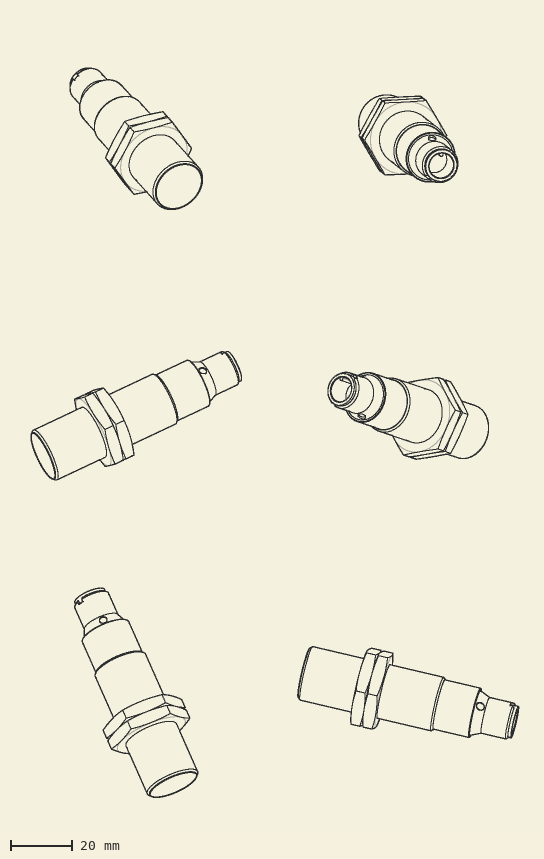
import cadquery as cq
import math

LENGTH = 70.7

TIP_RADIUS = 5.3
TIP_LENGTH = 1.0
COLLAR_RADIUS = 5.4
PLUG_RADIUS = 6.0
PLUG_CHAMFER_END = 1.6
PLUG_END = 9.8

CONE_END = 13.2
CONE_END_RADIUS = 7.5
CAP_RADIUS = 8.3
CAP_CHAMFER = 0.2
CAP_END = 25.3

BARREL_RADIUS = 9.0
BARREL_CHAMFER_LENGTH = 0.65
BARREL_CHAMFER_RADIUS = 8.4
FACE_RADIUS = 8.2
FACE_LENGTH = 0.2

BORE_RADIUS = 4.1
BORE_MOUTH_RADIUS = 4.3
BORE_DEPTH = 8.5
RIB_WIDTH = 1.2
RIB_TIP_HEIGHT = 3.05

SLOT_WIDTH = 2.0
SLOT_END = 2.5
SLOT_ANGLES = (45, 225)

WINDOW_DIAMETER = 2.55
WINDOW_X = 11.5
WINDOW_DEPTH = 0.6

NUT_CORNERS = 27.7
NUT_THICKNESS = 4.0
NUT_START = 43.9
NUT_COUNT = 2
NUT_CHAMFER_ANGLE = 15
HALF_HEXAGON_SIDE_ANGLE = 30


def revolve_about_x(points):
    """Solid of revolution from an (x, radius) outline."""
    return cq.Workplane("XY").polyline(points).close().revolve(360, (0, 0, 0), (1, 0, 0))


def make_blank():
    face_start = LENGTH - FACE_LENGTH
    return revolve_about_x([
        (0, 0),
        (0, TIP_RADIUS),
        (TIP_LENGTH, TIP_RADIUS),
        (TIP_LENGTH, COLLAR_RADIUS),
        (PLUG_CHAMFER_END, PLUG_RADIUS),
        (PLUG_END, PLUG_RADIUS),
        (CONE_END, CONE_END_RADIUS),
        (CONE_END, CAP_RADIUS - CAP_CHAMFER),
        (CONE_END + CAP_CHAMFER, CAP_RADIUS),
        (CAP_END, CAP_RADIUS),
        (CAP_END, BARREL_CHAMFER_RADIUS),
        (CAP_END + BARREL_CHAMFER_LENGTH, BARREL_RADIUS),
        (face_start - BARREL_CHAMFER_LENGTH, BARREL_RADIUS),
        (face_start, BARREL_CHAMFER_RADIUS),
        (face_start, FACE_RADIUS),
        (LENGTH, FACE_RADIUS),
        (LENGTH, 0),
    ])


def make_socket():
    """Cavity of the plug socket: chamfered bore less the round-tipped key rib at its top."""
    mouth_chamfer = BORE_MOUTH_RADIUS - BORE_RADIUS
    bore = revolve_about_x([
        (0, 0),
        (0, BORE_MOUTH_RADIUS),
        (mouth_chamfer, BORE_RADIUS),
        (BORE_DEPTH, BORE_RADIUS),
        (BORE_DEPTH, 0),
    ])
    half_width = RIB_WIDTH / 2
    shoulder_height = RIB_TIP_HEIGHT + half_width
    rib = (
        cq.Workplane("YZ", origin=(mouth_chamfer, 0, 0))
        .moveTo(-half_width, BORE_MOUTH_RADIUS)
        .lineTo(-half_width, shoulder_height)
        .threePointArc((0, RIB_TIP_HEIGHT), (half_width, shoulder_height))
        .lineTo(half_width, BORE_MOUTH_RADIUS)
        .close()
        .extrude(BORE_DEPTH)
    )
    return bore.cut(rib)


def make_slot(angle):
    """Slot through the plug rim, with its floor flush with the tip, turned about X from +Z toward -Y."""
    block = cq.Workplane("XY").box(
        SLOT_END, SLOT_WIDTH, CAP_RADIUS, centered=(False, True, False)
    )
    tip = cq.Workplane("YZ").circle(TIP_RADIUS).extrude(SLOT_END)
    return block.cut(tip).rotate((0, 0, 0), (1, 0, 0), angle)


def make_windows():
    """Vertical round recesses above and below, whose floors run parallel to the cone."""
    pin = (
        cq.Workplane("XY", origin=(WINDOW_X, 0, -CAP_RADIUS))
        .circle(WINDOW_DIAMETER / 2)
        .extrude(2 * CAP_RADIUS)
    )
    core = revolve_about_x([
        (PLUG_END, 0),
        (PLUG_END, PLUG_RADIUS - WINDOW_DEPTH),
        (CONE_END, CONE_END_RADIUS - WINDOW_DEPTH),
        (CONE_END, 0),
    ])
    return pin.cut(core)


def make_housing():
    housing = make_blank().cut(make_socket()).cut(make_windows())
    for angle in SLOT_ANGLES:
        housing = housing.cut(make_slot(angle))
    return housing


def make_nut(start):
    """Hexagon nut with flats facing up and down, corners chamfered on both faces."""
    corner_radius = NUT_CORNERS / 2
    flat_radius = corner_radius * math.cos(math.radians(HALF_HEXAGON_SIDE_ANGLE))
    chamfer = (corner_radius - flat_radius) * math.tan(math.radians(NUT_CHAMFER_ANGLE))
    end = start + NUT_THICKNESS
    hexagon = (
        cq.Workplane("YZ", origin=(start, 0, 0))
        .polygon(6, NUT_CORNERS)
        .circle(BARREL_RADIUS)
        .extrude(NUT_THICKNESS)
    )
    envelope = revolve_about_x([
        (start, 0),
        (start, flat_radius),
        (start + chamfer, corner_radius),
        (end - chamfer, corner_radius),
        (end, flat_radius),
        (end, 0),
    ])
    return hexagon.intersect(envelope)


housing = make_housing()
nuts = [make_nut(NUT_START + index * NUT_THICKNESS) for index in range(NUT_COUNT)]

result = cq.Compound.makeCompound([housing.val(), *[nut.val() for nut in nuts]])